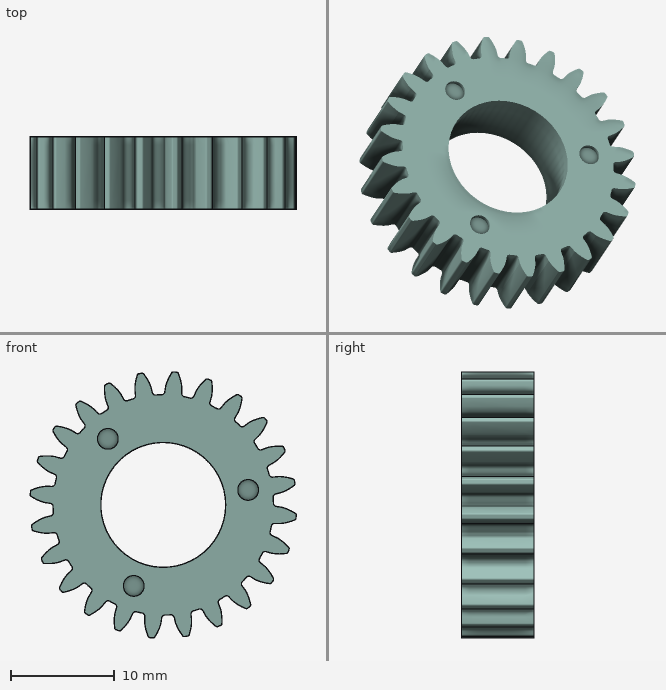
import cadquery as cq
import math

face_width = 7.0
tooth_count = 24
tip_radius = 12.855
root_radius = 10.62
base_radius = 11.15
flank_start_radius = 11.44
foot_half_width = 0.85
base_half_angle = 4.2
first_tooth_angle = 9.9
tip_round = 0.2
root_fillet = 0.3
bore_diameter = 12.0
pin_hole_diameter = 2.0
pin_hole_depth = 0.5
pin_hole_count = 3
pin_circle_radius = 8.3
first_pin_angle = 10.0
flank_spans = 6
edge_tolerance = 0.01

front_y = -face_width / 2
tooth_overlap = root_fillet
tooth_angles = [first_tooth_angle + i * 360 / tooth_count for i in range(tooth_count)]
pin_angles = [first_pin_angle + i * 360 / pin_hole_count for i in range(pin_hole_count)]


def front_face():
    """Front face of the gear: local x along +X, local y along +Z, normal along -Y."""
    return cq.Workplane("XZ", origin=(0, front_y, 0))


def cylinder(diameter):
    """Full-width cylinder about the gear axis."""
    return front_face().circle(diameter / 2).extrude(-face_width)


def half_angle(radius):
    """Half the angle, in degrees, that a tooth spans between its involute flanks."""
    pressure_angle = math.acos(base_radius / radius)
    return base_half_angle - math.degrees(math.tan(pressure_angle) - pressure_angle)


def flank():
    """Involute points of the upper flank of a tooth along local +x, from foot to tip."""
    step = (tip_radius - flank_start_radius) / flank_spans
    radii = [flank_start_radius + step * i for i in range(flank_spans + 1)]
    angles = [math.radians(half_angle(r)) for r in radii]
    return [(r * math.cos(a), r * math.sin(a)) for r, a in zip(radii, angles)]


def tooth(angle):
    """One tooth: a slightly tapered foot, two involute flanks and a tip arc."""
    upper = flank()
    lower = [(x, -y) for x, y in upper]
    foot_x = math.sqrt(root_radius**2 - foot_half_width**2)
    buried_x = root_radius - tooth_overlap
    outline = (
        front_face()
        .moveTo(buried_x, -foot_half_width)
        .lineTo(foot_x, -foot_half_width)
        .lineTo(*lower[0])
        .spline(lower[1:], includeCurrent=True)
        .threePointArc((tip_radius, 0), upper[-1])
        .spline(upper[-2::-1], includeCurrent=True)
        .lineTo(foot_x, foot_half_width)
        .lineTo(buried_x, foot_half_width)
        .close()
    )
    return outline.extrude(-face_width).rotate((0, 0, 0), (0, 1, 0), -angle)


def edges_at(body, radius):
    """Edges parallel to the axis that lie on a circle of this radius."""

    def on_circle(edge):
        center = edge.Center()
        return abs(math.hypot(center.x, center.z) - radius) < edge_tolerance

    return body.edges("|Y").filter(on_circle)


def toothed_blank():
    """Root cylinder with all teeth, rounded at the tips and filleted at the roots."""
    body = cylinder(2 * root_radius)
    for angle in tooth_angles:
        body = body.union(tooth(angle))
    body = edges_at(body, tip_radius).fillet(tip_round)
    return edges_at(body, root_radius).fillet(root_fillet)


def pin_holes():
    """Shallow blind holes in the front face, evenly spaced on the pin circle."""
    centers = []
    for angle in pin_angles:
        turn = math.radians(angle)
        centers.append((pin_circle_radius * math.cos(turn), pin_circle_radius * math.sin(turn)))
    return front_face().pushPoints(centers).circle(pin_hole_diameter / 2).extrude(-pin_hole_depth)


result = toothed_blank().cut(cylinder(bore_diameter)).cut(pin_holes())